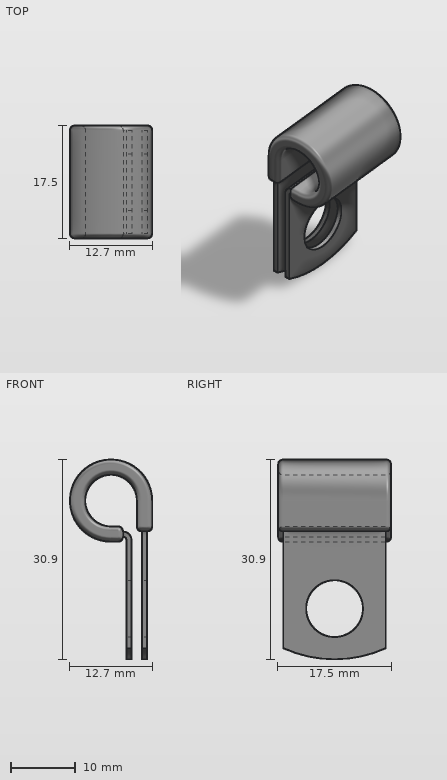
import cadquery as cq
import math

INCH = 25.4

bore_radius = 5 / 32 * INCH
cushion_thickness = 1 / 32 * INCH
strap_thickness = 0.81
strap_width = 5 / 8 * INCH
outer_arm_length = 3 / 16 * INCH
lower_arm_length = 1.85
leg_gap = 1 / 16 * INCH
bend_inner_radius = 0.53
hole_diameter = 11 / 32 * INCH
hole_depth_below_axis = 21 / 32 * INCH
leg_tip_depth = 24.51
leg_tip_radius = 3 / 4 * INCH

cushion_width = strap_width + 2 * cushion_thickness
outer_radius = bore_radius + 2 * cushion_thickness + strap_thickness
strap_inner_radius = bore_radius + cushion_thickness
strap_outer_radius = strap_inner_radius + strap_thickness
inner_leg_right = strap_inner_radius - leg_gap
inner_leg_left = inner_leg_right - strap_thickness
bend_outer_radius = bend_inner_radius + strap_thickness
bend_center_x = inner_leg_left - bend_inner_radius
bend_center_z = -strap_outer_radius - bend_inner_radius


def extrude_across(profile, width):
    """Extrude an XZ profile symmetrically about the Y = 0 plane."""
    return profile.close().extrude(width / 2, both=True)


def make_cushioned_loop():
    """Three-quarter loop with a straight arm at each end, rounded on every outer edge."""
    diagonal = math.sqrt(0.5)
    outer_mid = (-outer_radius * diagonal, outer_radius * diagonal)
    bore_mid = (-bore_radius * diagonal, bore_radius * diagonal)
    profile = (
        cq.Workplane("XZ")
        .moveTo(outer_radius, -outer_arm_length)
        .lineTo(outer_radius, 0)
        .threePointArc(outer_mid, (0, -outer_radius))
        .lineTo(lower_arm_length, -outer_radius)
        .lineTo(lower_arm_length, -bore_radius)
        .lineTo(0, -bore_radius)
        .threePointArc(bore_mid, (bore_radius, 0))
        .lineTo(bore_radius, -outer_arm_length)
    )
    loop = extrude_across(profile, cushion_width)
    arm_mid_radius = (bore_radius + outer_radius) / 2
    outer_arm_end = cq.selectors.NearestToPointSelector((arm_mid_radius, 0, -outer_arm_length))
    lower_arm_end = cq.selectors.NearestToPointSelector((lower_arm_length, 0, -arm_mid_radius))
    rounded_edges = (
        loop.faces("|Y").edges()
        .add(loop.faces(outer_arm_end).edges("|Y"))
        .add(loop.faces(lower_arm_end).edges("|Y"))
    )
    return rounded_edges.fillet(cushion_thickness)


def make_outer_leg():
    """Straight leg that continues the +X arm downward, starting inside the cushion."""
    leg_top = -outer_arm_length + cushion_thickness
    profile = (
        cq.Workplane("XZ")
        .moveTo(strap_inner_radius, leg_top)
        .lineTo(strap_outer_radius, leg_top)
        .lineTo(strap_outer_radius, -leg_tip_depth)
        .lineTo(strap_inner_radius, -leg_tip_depth)
    )
    return extrude_across(profile, strap_width)


def make_inner_leg():
    """Leg that leaves the lower arm, starting inside the cushion, and bends downward."""
    leg_start = lower_arm_length - cushion_thickness
    profile = (
        cq.Workplane("XZ")
        .moveTo(leg_start, -strap_inner_radius)
        .lineTo(bend_center_x, -strap_inner_radius)
        .radiusArc((inner_leg_right, bend_center_z), bend_outer_radius)
        .lineTo(inner_leg_right, -leg_tip_depth)
        .lineTo(inner_leg_left, -leg_tip_depth)
        .lineTo(inner_leg_left, bend_center_z)
        .radiusArc((bend_center_x, -strap_outer_radius), -bend_inner_radius)
        .lineTo(leg_start, -strap_outer_radius)
    )
    return extrude_across(profile, strap_width)


def make_leg_outline():
    """Block along X that trims both legs to the arc-shaped tip and carries the bolt hole."""
    half_width = strap_width / 2
    tip_center_depth = leg_tip_depth - leg_tip_radius
    corner_depth = tip_center_depth + math.sqrt(leg_tip_radius**2 - half_width**2)
    return (
        cq.Workplane("YZ")
        .moveTo(-half_width, 0)
        .lineTo(-half_width, -corner_depth)
        .threePointArc((0, -leg_tip_depth), (half_width, -corner_depth))
        .lineTo(half_width, 0)
        .close()
        .moveTo(0, -hole_depth_below_axis)
        .circle(hole_diameter / 2)
        .extrude(outer_radius)
    )


legs = make_outer_leg().union(make_inner_leg()).intersect(make_leg_outline())
result = make_cushioned_loop().union(legs)